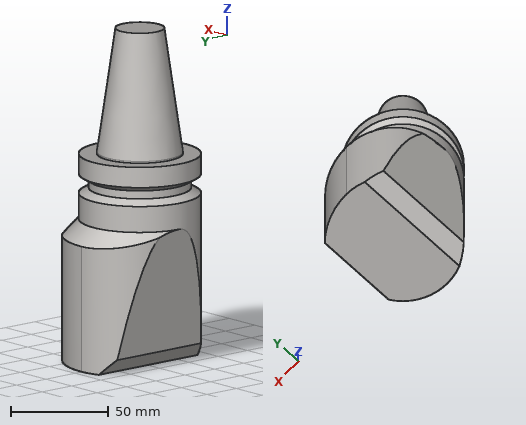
import cadquery as cq
import math

total_height = 175.4
body_height = 74.7
flat_top = 83.1
groove_bottom = 88.4
groove_top = 98.4
flange_top = 109.1
taper_base = 110.2

flange_radius = 63.0 / 2
groove_radius = 53.0 / 2
taper_base_radius = 44.4 / 2
taper_ratio = 7 / 24
taper_top_radius = taper_base_radius - taper_ratio / 2 * (total_height - taper_base)
groove_wall_angle = math.radians(30)
groove_wall_height = (flange_radius - groove_radius) * math.tan(groove_wall_angle)

overall_depth = 71.5
back_reach = overall_depth - flange_radius
back_offset = back_reach - flange_radius
flat_x = 27.2
slope_end_x = -20.0
slope_end_height = 8.6
bottom_corner_x = slope_end_x + slope_end_height


def make_shank():
    """Flange with its gripper groove, and the taper above it."""
    profile = [
        (0, body_height),
        (flange_radius, body_height),
        (flange_radius, groove_bottom),
        (groove_radius, groove_bottom + groove_wall_height),
        (groove_radius, groove_top - groove_wall_height),
        (flange_radius, groove_top),
        (flange_radius, flange_top),
        (taper_base_radius, flange_top),
        (taper_base_radius, taper_base),
        (taper_top_radius, total_height),
        (0, total_height),
    ]
    return cq.Workplane("XZ").polyline(profile).close().revolve(360, (0, 0), (0, 1))


def make_body():
    """Body reaching out to the back, under a 45 degree conical shoulder."""
    turned_profile = [
        (0, 0),
        (back_reach, 0),
        (back_reach, body_height - back_offset),
        (flange_radius, body_height),
        (0, body_height),
    ]
    turned = cq.Workplane("XZ").polyline(turned_profile).close().revolve(360, (0, 0), (0, 1))

    diagonal = math.sqrt(0.5)
    outline = (
        cq.Workplane("XY")
        .moveTo(-flange_radius, 0)
        .threePointArc((0, -flange_radius), (flange_radius, 0))
        .lineTo(flange_radius, math.sqrt(back_reach**2 - flange_radius**2))
        .threePointArc((back_reach * math.sin(math.pi / 8), back_reach * math.cos(math.pi / 8)), (0, back_reach))
        .threePointArc(
            (-flange_radius * diagonal, back_offset + flange_radius * diagonal),
            (-flange_radius, back_offset),
        )
        .close()
        .extrude(body_height)
    )
    return turned.intersect(outline)


def make_side_relief():
    """Sloped relief and lower bevel on the -X side."""
    profile = [
        (-flange_radius, body_height),
        (slope_end_x, slope_end_height),
        (bottom_corner_x, 0),
        (-back_reach, 0),
        (-back_reach, body_height),
    ]
    return cq.Workplane("XZ").polyline(profile).close().extrude(back_reach * 2, both=True)


def make_flat_cut():
    """Flat along the +X side of the body and lower flange."""
    cut_width = back_reach - flat_x
    return cq.Workplane("XY").box(
        cut_width, 4 * back_reach, flat_top, centered=(False, True, False)
    ).translate((flat_x, 0, 0))


result = make_shank().union(make_body()).cut(make_side_relief()).cut(make_flat_cut())